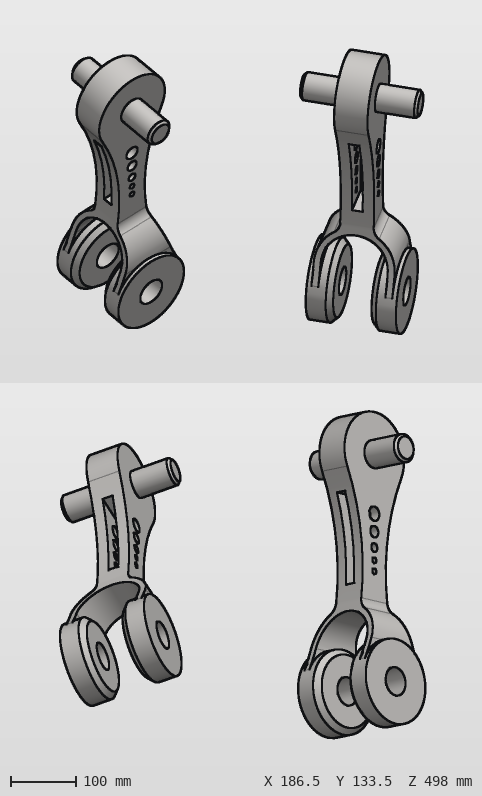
import cadquery as cq
import math

total_height = 498.0
end_diameter = 133.5
end_radius = end_diameter / 2
eye_z = end_radius
head_z = total_height - end_radius
middle_z = total_height / 2

stem_width = 53.5
neck_half_depth = 26.0
slot_width = 17.0
slot_bottom_z = 227.0
slot_top_z = 369.0
cross_holes = [(337.5, 22.5), (309.0, 18.0), (284.5, 13.5), (264.5, 9.0), (247.0, 9.0)]

fork_outer_width = 128.5
arm_thickness = 11.0
fork_outer_radius = fork_outer_width / 2
fork_inner_radius = fork_outer_radius - arm_thickness
fork_center_z = 130.0
shoulder_radius = 21.0

eye_outer_width = 143.5
eye_thickness = 41.5
eye_chamfer = 9.5
pin_diameter = 44.5
pin_length = 186.5
pin_chamfer = 4.5


def cylinder_along_x(diameter, length, center_z):
    """Cylinder centred on x = 0 with its axis along X."""
    base = cq.Workplane("YZ", origin=(0, 0, center_z))
    return base.circle(diameter / 2).extrude(length / 2, both=True)


def side_outline():
    """Link seen along X: concave flanks tangent to the two end circles."""
    half_span = head_z - middle_z
    flank_radius = (neck_half_depth**2 + half_span**2 - end_radius**2) / (
        2 * (end_radius - neck_half_depth)
    )
    flank_center_y = neck_half_depth + flank_radius
    share = end_radius / (end_radius + flank_radius)
    tangent_y = flank_center_y * share
    upper_z = head_z - half_span * share
    lower_z = eye_z + half_span * share
    return (
        cq.Workplane("YZ")
        .moveTo(tangent_y, upper_z)
        .threePointArc((0, total_height), (-tangent_y, upper_z))
        .threePointArc((-neck_half_depth, middle_z), (-tangent_y, lower_z))
        .lineTo(tangent_y, lower_z)
        .threePointArc((neck_half_depth, middle_z), (tangent_y, upper_z))
        .close()
        .extrude(eye_outer_width / 2, both=True)
    )


def front_outline():
    """Link seen along Y: straight stem flowing through shoulders into a round fork."""
    half_stem = stem_width / 2
    shoulder_x = half_stem + shoulder_radius
    center_distance = fork_outer_radius + shoulder_radius
    shoulder_rise = math.sqrt(center_distance**2 - shoulder_x**2)
    shoulder_z = fork_center_z + shoulder_rise
    share = fork_outer_radius / center_distance
    join_x = shoulder_x * share
    join_z = fork_center_z + shoulder_rise * share

    mid_angle = math.atan2(shoulder_rise, shoulder_x) / 2
    shoulder_mid_x = shoulder_x - shoulder_radius * math.cos(mid_angle)
    shoulder_mid_z = shoulder_z - shoulder_radius * math.sin(mid_angle)
    fork_mid_x = fork_outer_radius * math.cos(mid_angle)
    fork_mid_z = fork_center_z + fork_outer_radius * math.sin(mid_angle)

    return (
        cq.Workplane("XZ")
        .moveTo(half_stem, total_height)
        .lineTo(half_stem, shoulder_z)
        .threePointArc((shoulder_mid_x, shoulder_mid_z), (join_x, join_z))
        .threePointArc((fork_mid_x, fork_mid_z), (fork_outer_radius, fork_center_z))
        .lineTo(fork_outer_radius, eye_z)
        .lineTo(fork_inner_radius, eye_z)
        .lineTo(fork_inner_radius, fork_center_z)
        .threePointArc(
            (0, fork_center_z + fork_inner_radius), (-fork_inner_radius, fork_center_z)
        )
        .lineTo(-fork_inner_radius, eye_z)
        .lineTo(-fork_outer_radius, eye_z)
        .lineTo(-fork_outer_radius, fork_center_z)
        .threePointArc((-fork_mid_x, fork_mid_z), (-join_x, join_z))
        .threePointArc((-shoulder_mid_x, shoulder_mid_z), (-half_stem, shoulder_z))
        .lineTo(-half_stem, total_height)
        .close()
        .extrude(end_radius, both=True)
    )


def right_eye():
    """Disc on the +X arm, chamfered on the face toward the middle of the fork."""
    inner_x = eye_outer_width / 2 - eye_thickness
    return (
        cq.Workplane("YZ", origin=(inner_x, 0, eye_z))
        .circle(end_radius)
        .extrude(eye_thickness)
        .faces("<X")
        .chamfer(eye_chamfer)
    )


def slot():
    """Rectangular window through the stem along Y."""
    slot_center_z = (slot_bottom_z + slot_top_z) / 2
    slot_height = slot_top_z - slot_bottom_z
    base = cq.Workplane("XY", origin=(0, 0, slot_center_z))
    return base.box(slot_width, end_diameter, slot_height)


link = side_outline().intersect(front_outline())
eye = right_eye()
link = link.union(eye).union(eye.mirror("YZ"))

link = link.cut(slot())
for hole_z, hole_diameter in cross_holes:
    link = link.cut(cylinder_along_x(hole_diameter, stem_width, hole_z))

link = link.cut(cylinder_along_x(pin_diameter, eye_outer_width, eye_z))
pin = cylinder_along_x(pin_diameter, pin_length, head_z).faces("<X or >X").chamfer(pin_chamfer)

result = link.union(pin)